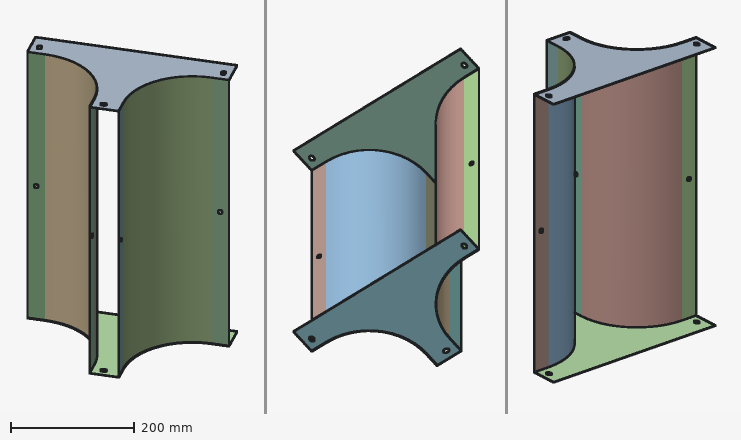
import cadquery as cq

width = 340.0
depth = 195.0
height = 500.0
sheet = 1.0

arm_depth = 50.0
stem_width = 50.0
flat_length = 30.0
corner_radius = depth - arm_depth - flat_length

hole_diameter = 7.0
small_hole_diameter = 5.0
slot_length = 10.0
hole_edge_offset = 15.0
arm_slot_front_offset = 20.0
stem_slot_shift = -5.0

half_width = width / 2
half_stem = stem_width / 2
back_y = depth / 2
front_y = -depth / 2
arm_front_y = back_y - arm_depth
arc_center_x = half_stem + corner_radius
arc_center_y = arm_front_y - corner_radius


def end_plate(base_z):
    """T-shaped plate with concave corners and one slot near each tip."""
    plate = (
        cq.Workplane("XY", origin=(0, 0, base_z))
        .moveTo(-half_width, back_y)
        .lineTo(half_width, back_y)
        .lineTo(half_width, arm_front_y)
        .lineTo(arc_center_x, arm_front_y)
        .radiusArc((half_stem, arc_center_y), -corner_radius)
        .lineTo(half_stem, front_y)
        .lineTo(-half_stem, front_y)
        .lineTo(-half_stem, arc_center_y)
        .radiusArc((-arc_center_x, arm_front_y), -corner_radius)
        .lineTo(-half_width, arm_front_y)
        .close()
        .extrude(sheet)
    )
    arm_slot_x = half_width - hole_edge_offset
    arm_slot_y = arm_front_y + arm_slot_front_offset
    arm_slots = (
        cq.Workplane("XY", origin=(0, 0, base_z))
        .pushPoints([(-arm_slot_x, arm_slot_y), (arm_slot_x, arm_slot_y)])
        .slot2D(slot_length, hole_diameter, 90)
        .extrude(sheet)
    )
    stem_slot = (
        cq.Workplane("XY", origin=(stem_slot_shift, front_y + hole_edge_offset, base_z))
        .slot2D(slot_length, hole_diameter)
        .extrude(sheet)
    )
    return plate.cut(arm_slots).cut(stem_slot)


def side_wall(stem_hole_diameter):
    """Wall on the +X side: flat on the arm, quarter round, flat on the stem."""
    back_face_radius = corner_radius + sheet
    wall = (
        cq.Workplane("XY", origin=(0, 0, -height / 2))
        .moveTo(half_width, arm_front_y)
        .lineTo(arc_center_x, arm_front_y)
        .radiusArc((half_stem, arc_center_y), -corner_radius)
        .lineTo(half_stem, front_y)
        .lineTo(half_stem - sheet, front_y)
        .lineTo(half_stem - sheet, arc_center_y)
        .radiusArc((arc_center_x, arm_front_y + sheet), back_face_radius)
        .lineTo(half_width, arm_front_y + sheet)
        .close()
        .extrude(height)
    )
    arm_hole = (
        cq.Workplane("XZ", origin=(half_width - hole_edge_offset, arm_front_y + sheet, 0))
        .circle(hole_diameter / 2)
        .extrude(sheet)
    )
    stem_hole = (
        cq.Workplane("YZ", origin=(half_stem - sheet, front_y + hole_edge_offset, 0))
        .circle(stem_hole_diameter / 2)
        .extrude(sheet)
    )
    return wall.cut(arm_hole).cut(stem_hole)


right_wall = side_wall(small_hole_diameter)
left_wall = side_wall(hole_diameter).mirror("YZ")
bottom_plate = end_plate(-height / 2)
top_plate = end_plate(height / 2 - sheet)

result = bottom_plate.union(top_plate).union(right_wall).union(left_wall)